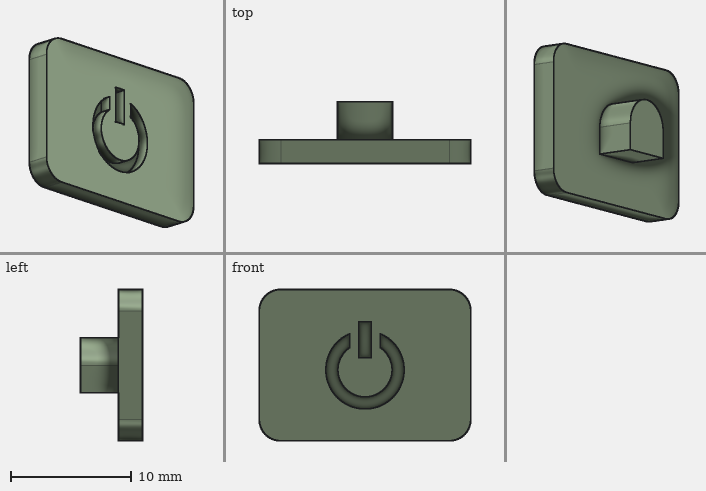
import cadquery as cq

plate_width = 17.6
plate_height = 12.6
plate_thickness = 2.0
corner_radius = 1.8

total_depth = 5.15
stem_width = 4.6
stem_length = total_depth - plate_thickness
stem_radius = stem_width / 2

engraving_depth = 1.0
symbol_center_z = -0.39
ring_outer_radius = 3.25
ring_inner_radius = 2.25
ring_gap = 2.5
bar_width = 1.0
bar_bottom_z = 0.6
bar_top_z = 3.63


def front_plane(y):
    """Sketch plane at depth y; positive extrusion runs towards -Y."""
    return cq.Workplane("XZ", origin=(0, y, 0))


def make_plate():
    return (
        front_plane(plate_thickness)
        .rect(plate_width, plate_height)
        .extrude(plate_thickness)
        .edges("|Y")
        .fillet(corner_radius)
    )


def make_stem():
    return (
        front_plane(total_depth)
        .moveTo(-stem_radius, -stem_radius)
        .lineTo(stem_radius, -stem_radius)
        .lineTo(stem_radius, 0)
        .threePointArc((0, stem_radius), (-stem_radius, 0))
        .close()
        .extrude(stem_length)
    )


def make_ring_cut():
    """Ring left open at the top by a straight-sided gap."""
    ring = (
        front_plane(engraving_depth)
        .center(0, symbol_center_z)
        .circle(ring_outer_radius)
        .circle(ring_inner_radius)
        .extrude(engraving_depth)
    )
    gap = (
        front_plane(engraving_depth)
        .center(0, symbol_center_z + ring_outer_radius / 2)
        .rect(ring_gap, ring_outer_radius)
        .extrude(engraving_depth)
    )
    return ring.cut(gap)


def make_bar_cut():
    return (
        front_plane(engraving_depth)
        .center(0, (bar_bottom_z + bar_top_z) / 2)
        .rect(bar_width, bar_top_z - bar_bottom_z)
        .extrude(engraving_depth)
    )


result = make_plate().union(make_stem()).cut(make_ring_cut()).cut(make_bar_cut())